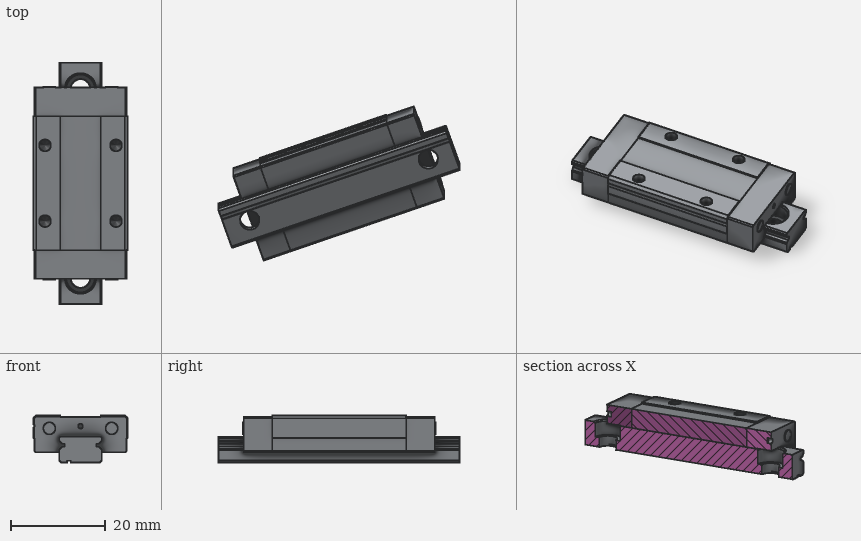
import cadquery as cq
import math

total_height = 10.0
underside_z = 2.2
slider_y = 0.05

rail_length = 51.0
rail_width = 9.05
rail_height = 5.5
rail_top_chamfer = 0.3
rail_foot_chamfer = 0.45
race_z = 3.65
race_half_opening = 1.05
race_lip = 0.3
race_lip_inset = 0.15
race_root_radius = 0.35
race_depth = 1.2
race_root_length = 0.25
mark_groove_width = 0.75
mark_groove_depth = 0.35
mark_groove_x = -2.45
rail_hole_pitch = 40.0
rail_bore_diameter = 4.1
rail_counterbore_diameter = 6.0
rail_counterbore_depth = 3.3
rail_counterbore_chamfer = 0.3

carriage_width = 20.0
carriage_length = 28.3
carriage_top_chamfer = 0.6
body_bottom_chamfer = 0.3
side_step_z = 5.25
side_step_drop = 0.15
top_recess_width = 8.45
top_recess_depth = 0.3
flank_groove_z = 7.75
flank_groove_radius = 0.45
flank_groove_depth = 0.25
mount_hole_diameter = 2.5
mount_hole_depth = 3.0
mount_hole_tip_angle = 120.0
mount_pitch_x = 15.0
mount_pitch_y = 16.0

cap_width = 19.55
cap_length = 6.05
cap_top_z = total_height - top_recess_depth
cap_top_chamfer = 0.3
screw_head_diameter = 2.55
screw_head_height = 0.2
screw_pitch = 13.15
screw_z = 7.25
oil_hole_diameter = 1.0
oil_hole_depth = 1.0
oil_hole_z = 7.7


def extrude_along_y(outline, length):
    """Extrude an XZ outline by length, centred on the XZ plane."""
    return outline.extrude(length / 2, both=True)


def mirrored_polyline(right_side):
    """Close an outline from its right-hand points, listed from bottom to top."""
    left_side = [(-x, z) for x, z in reversed(right_side)]
    return cq.Workplane("XZ").polyline(right_side + left_side).close()


def race_cutter(side, length):
    """Material removed for one ball race; side is +1 or -1."""
    half_width = rail_width / 2
    root_x = half_width - race_depth + race_root_radius
    neck_x = root_x + race_root_length
    lip_x = half_width - race_lip_inset
    lip_half = race_half_opening - race_lip
    flank = [
        (half_width, -race_half_opening),
        (lip_x, -lip_half),
        (neck_x, -race_root_radius),
        (root_x, -race_root_radius),
        (root_x, race_root_radius),
        (neck_x, race_root_radius),
        (lip_x, lip_half),
        (half_width, race_half_opening),
    ]
    points = [(side * x, race_z + z) for x, z in flank]
    wedge = extrude_along_y(cq.Workplane("XZ").polyline(points).close(), length)
    root = cq.Workplane("XZ").center(side * root_x, race_z).circle(race_root_radius)
    return wedge.union(extrude_along_y(root, length))


def rail_bar(length):
    """Rail section with its two ball races, without holes."""
    half_width = rail_width / 2
    bar = extrude_along_y(
        mirrored_polyline([
            (half_width - rail_foot_chamfer, 0),
            (half_width, rail_foot_chamfer),
            (half_width, rail_height - rail_top_chamfer),
            (half_width - rail_top_chamfer, rail_height),
        ]),
        length,
    )
    for side in (-1, 1):
        bar = bar.cut(race_cutter(side, length))
    return bar


def make_rail():
    rail = rail_bar(rail_length)
    mark_groove = cq.Workplane("XY").box(
        mark_groove_width, rail_length, mark_groove_depth, centered=(True, True, False)
    )
    rail = rail.cut(mark_groove.translate((mark_groove_x, 0, 0)))
    hole_centres = [(0, -rail_hole_pitch / 2), (0, rail_hole_pitch / 2)]
    rail = (
        rail.faces(">Z").workplane(origin=(0, 0, rail_height))
        .pushPoints(hole_centres)
        .cboreHole(rail_bore_diameter, rail_counterbore_diameter, rail_counterbore_depth)
    )
    counterbore_radius = rail_counterbore_diameter / 2
    for x, y in hole_centres:
        mouth = cq.Solid.makeCone(
            counterbore_radius,
            counterbore_radius + rail_counterbore_chamfer,
            rail_counterbore_chamfer,
            pnt=cq.Vector(x, y, rail_height - rail_counterbore_chamfer),
        )
        rail = rail.cut(cq.Workplane(mouth))
    return rail


def mounting_hole(x, y):
    """Blind drilled hole with a conical tip, open at the carriage top."""
    radius = mount_hole_diameter / 2
    tip_depth = radius / math.tan(math.radians(mount_hole_tip_angle / 2))
    floor_z = total_height - mount_hole_depth
    profile = [
        (0, floor_z - tip_depth),
        (radius, floor_z),
        (radius, total_height),
        (0, total_height),
    ]
    drill = cq.Workplane("XZ").polyline(profile).close().revolve(360, (0, 0), (0, 1))
    return drill.translate((x, y, 0))


def make_carriage():
    half_width = carriage_width / 2
    lower_half_width = cap_width / 2
    carriage = extrude_along_y(
        mirrored_polyline([
            (lower_half_width - body_bottom_chamfer, underside_z),
            (lower_half_width, underside_z + body_bottom_chamfer),
            (lower_half_width, side_step_z - side_step_drop),
            (half_width, side_step_z),
            (half_width, total_height - carriage_top_chamfer),
            (half_width - carriage_top_chamfer, total_height),
        ]),
        carriage_length,
    )
    recess = cq.Workplane("XY").box(
        top_recess_width, carriage_length, top_recess_depth, centered=(True, True, False)
    )
    carriage = carriage.cut(recess.translate((0, 0, cap_top_z)))
    groove_x = -half_width - flank_groove_radius + flank_groove_depth
    flank_groove = cq.Workplane("XZ").center(groove_x, flank_groove_z).circle(flank_groove_radius)
    carriage = carriage.cut(extrude_along_y(flank_groove, carriage_length))
    for x in (-mount_pitch_x / 2, mount_pitch_x / 2):
        for y in (-mount_pitch_y / 2, mount_pitch_y / 2):
            carriage = carriage.cut(mounting_hole(x, y))
    return carriage.cut(rail_bar(rail_length)).translate((0, slider_y, 0))


def make_end_cap(end):
    """End cap with its screw heads; end is -1 for the -Y end, +1 for the +Y end."""
    half_width = cap_width / 2
    block = extrude_along_y(
        mirrored_polyline([
            (half_width - body_bottom_chamfer, underside_z),
            (half_width, underside_z + body_bottom_chamfer),
            (half_width, cap_top_z - cap_top_chamfer),
            (half_width - cap_top_chamfer, cap_top_z),
        ]),
        cap_length,
    )
    cap = block.translate((0, -(carriage_length + cap_length) / 2, 0))
    outer_y = -(carriage_length / 2 + cap_length)
    outer_face = cq.Workplane("XZ", origin=(0, outer_y, 0))
    heads = (
        outer_face.pushPoints([(-screw_pitch / 2, screw_z), (screw_pitch / 2, screw_z)])
        .circle(screw_head_diameter / 2)
        .extrude(screw_head_height)
    )
    oil_hole = outer_face.center(0, oil_hole_z).circle(oil_hole_diameter / 2).extrude(-oil_hole_depth)
    cap = cap.union(heads).cut(oil_hole).cut(rail_bar(rail_length))
    if end > 0:
        cap = cap.mirror("XZ")
    return cap.translate((0, slider_y, 0))


rail = make_rail()
carriage = make_carriage()
end_caps = [make_end_cap(end) for end in (-1, 1)]

result = cq.Compound.makeCompound(
    [rail.val(), carriage.val(), *[cap.val() for cap in end_caps]]
)